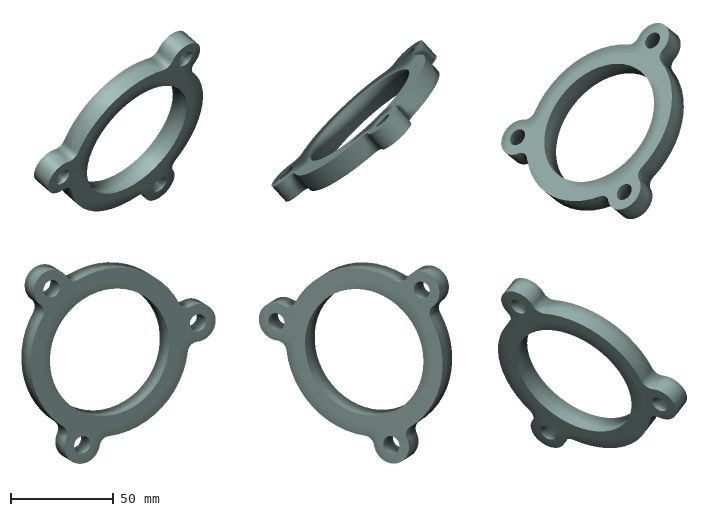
import cadquery as cq

thickness = 10.4
ring_outer_radius = 42.9
ring_bore_radius = 32.3

lug_radius = 9.6
lug_hole_radius = 4.4
lug_fillet_radius = 5.0
lug_centers = [(31.4, 36.7), (-48.0, 8.7), (14.8, -45.4)]


def cylinders(centers, radius):
    """Cylinders along +X through the full thickness at the given (Y, Z) centres."""
    return cq.Workplane("YZ").pushPoints(centers).circle(radius).extrude(thickness)


def lugged_disc():
    """Solid disc with the lugs blended into its rim."""
    disc = cylinders([(0, 0)], ring_outer_radius)
    body = disc.union(cylinders(lug_centers, lug_radius))
    corners = body.edges("|X").filter(is_lug_corner)
    return corners.fillet(lug_fillet_radius)


def is_lug_corner(edge):
    """True for an edge lying on both the rim and the outline of a lug."""
    tolerance = 0.001
    middle = edge.Center()
    point = cq.Vector(0, middle.y, middle.z)
    on_rim = abs(point.Length - ring_outer_radius) < tolerance
    on_lug = any(
        abs((point - cq.Vector(0, y, z)).Length - lug_radius) < tolerance
        for y, z in lug_centers
    )
    return on_rim and on_lug


bore = cylinders([(0, 0)], ring_bore_radius)
lug_holes = cylinders(lug_centers, lug_hole_radius)
result = lugged_disc().cut(bore).cut(lug_holes)